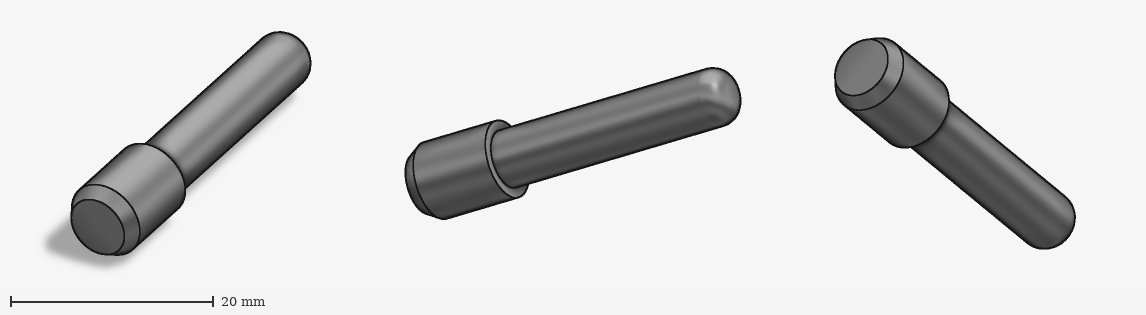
import cadquery as cq
import math

head_diameter = 7.9
head_length = 10.0
lead_in_length = 1.5
lead_in_angle = 30.0

shank_diameter = 5.9
shank_length = 26.5
nose_radius = 2.0

head_radius = head_diameter / 2
shank_radius = shank_diameter / 2
lead_in_depth = lead_in_length * math.tan(math.radians(lead_in_angle))

head_face_y = -head_length
lead_in_end_y = head_face_y + lead_in_length
shoulder_y = 0.0
nose_start_y = shank_length - nose_radius

nose_center_x = shank_radius - nose_radius
nose_mid_offset = nose_radius * math.sqrt(0.5)
nose_mid_point = (nose_center_x + nose_mid_offset, nose_start_y + nose_mid_offset)


def make_pin():
    """Revolve the half profile of the pin about the Y axis."""
    profile = (
        cq.Workplane("XY")
        .moveTo(0, head_face_y)
        .lineTo(head_radius - lead_in_depth, head_face_y)
        .lineTo(head_radius, lead_in_end_y)
        .lineTo(head_radius, shoulder_y)
        .lineTo(shank_radius, shoulder_y)
        .lineTo(shank_radius, nose_start_y)
        .threePointArc(nose_mid_point, (nose_center_x, shank_length))
        .lineTo(0, shank_length)
        .close()
    )
    return profile.revolve(360, (0, 0, 0), (0, 1, 0))


result = make_pin()